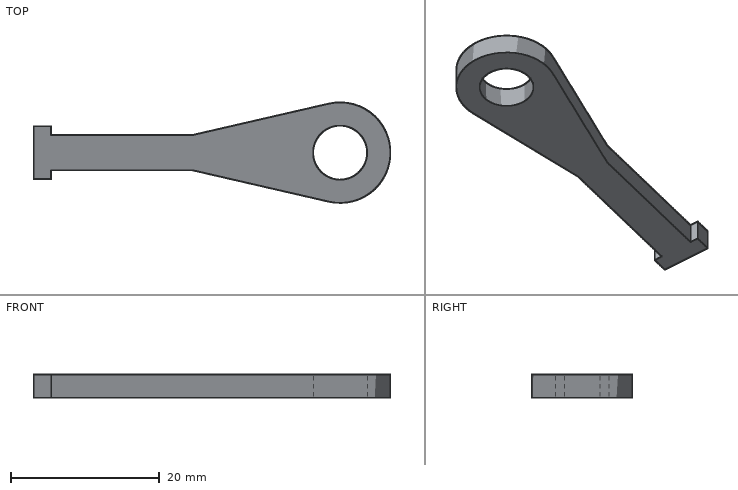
import cadquery as cq
import math

total_length = 48.04
thickness = 3.17
eye_diameter = 13.57
hole_diameter = 7.24
crossbar_length = 2.35
crossbar_width = 7.15
shank_width = 4.8
taper_start = 21.45

eye_radius = eye_diameter / 2
left_end = eye_radius - total_length
crossbar_inner = left_end + crossbar_length
taper_x = left_end + taper_start
half_shank = shank_width / 2
half_crossbar = crossbar_width / 2

corner_distance = math.hypot(taper_x, half_shank)
taper_angle = math.asin(eye_radius / corner_distance) - math.atan2(half_shank, -taper_x)
tangent_x = -eye_radius * math.sin(taper_angle)
tangent_y = eye_radius * math.cos(taper_angle)


def make_body():
    """Flat lever: crossbar, straight shank, tapered neck and round eye."""
    return (
        cq.Workplane("XY")
        .moveTo(left_end, -half_crossbar)
        .lineTo(crossbar_inner, -half_crossbar)
        .lineTo(crossbar_inner, -half_shank)
        .lineTo(taper_x, -half_shank)
        .lineTo(tangent_x, -tangent_y)
        .threePointArc((eye_radius, 0), (tangent_x, tangent_y))
        .lineTo(taper_x, half_shank)
        .lineTo(crossbar_inner, half_shank)
        .lineTo(crossbar_inner, half_crossbar)
        .lineTo(left_end, half_crossbar)
        .close()
        .extrude(thickness)
    )


def cut_eye_hole(body):
    """Through hole concentric with the eye."""
    hole = cq.Workplane("XY").circle(hole_diameter / 2).extrude(thickness)
    return body.cut(hole)


result = cut_eye_hole(make_body())